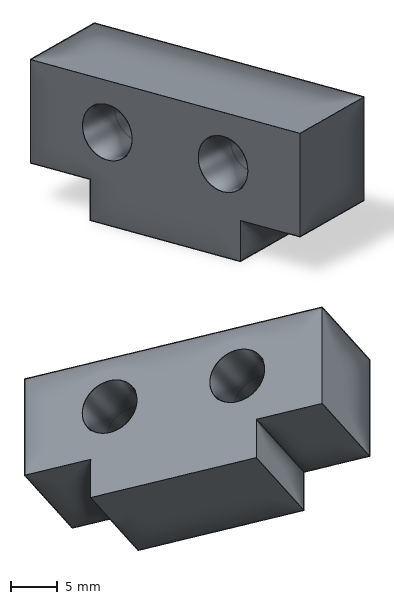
import cadquery as cq

length = 35.0
depth = 12.0
total_height = 16.75

bar_height = 12.0
tongue_length = 19.5
tongue_height = total_height - bar_height

hole_diameter = 6.45
hole_spacing = 15.0


def make_bar():
    """Upper bar, resting on Z = 0 and centred in X and Y."""
    return cq.Workplane("XY").box(length, depth, bar_height, centered=(True, True, False))


def make_tongue():
    """Full-depth tongue hanging below the bar."""
    return (
        cq.Workplane("XY")
        .rect(tongue_length, depth)
        .extrude(-tongue_height)
    )


def make_holes():
    """Two cylinders along Y that pass right through the bar."""
    return (
        cq.Workplane("XZ", origin=(0, 0, bar_height / 2))
        .pushPoints([(-hole_spacing / 2, 0), (hole_spacing / 2, 0)])
        .circle(hole_diameter / 2)
        .extrude(depth, both=True)
    )


result = make_bar().union(make_tongue()).cut(make_holes())